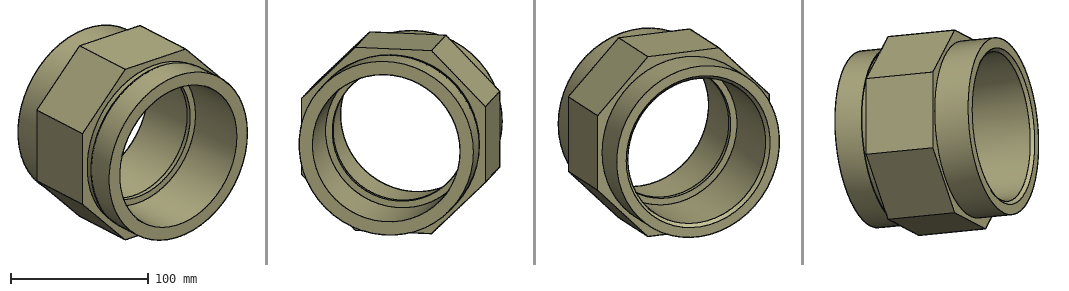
import cadquery as cq

total_length = 106.0
across_flats = 137.0

front_collar_length = total_length / 4
octagon_length = total_length / 2
groove_width = 5.3

collar_diameter = 129.9
groove_diameter = 128.2
bore_diameter = 100.0
socket_diameter = 109.9

socket_depth = 54.4
stop_width = 3.5
mouth_diameter = 114.8
mouth_chamfer = (mouth_diameter - socket_diameter) / 2

octagon_start = front_collar_length
octagon_end = octagon_start + octagon_length


def cylinder(diameter, start, length):
    """Cylinder on the X axis."""
    return cq.Workplane("YZ", origin=(start, 0, 0)).circle(diameter / 2).extrude(length)


def octagon_body():
    """Octagonal grip with flats facing Y and Z."""
    square_bar = (
        cq.Workplane("YZ", origin=(octagon_start, 0, 0))
        .rect(across_flats, across_flats)
        .extrude(octagon_length)
    )
    return square_bar.intersect(square_bar.rotate((0, 0, 0), (1, 0, 0), 45))


def front_socket():
    """Stepped recess with a chamfered mouth."""
    profile = [
        (0, 0),
        (0, mouth_diameter / 2),
        (mouth_chamfer, socket_diameter / 2),
        (socket_depth, socket_diameter / 2),
        (socket_depth, 0),
    ]
    return cq.Workplane("XY").polyline(profile).close().revolve(360, (0, 0, 0), (1, 0, 0))


rear_collar_start = octagon_end + groove_width
body = (
    cylinder(collar_diameter, 0, octagon_end)
    .union(octagon_body())
    .union(cylinder(groove_diameter, octagon_end, groove_width))
    .union(cylinder(collar_diameter, rear_collar_start, total_length - rear_collar_start))
)

rear_socket_start = socket_depth + stop_width
result = (
    body.cut(cylinder(bore_diameter, 0, total_length))
    .cut(front_socket())
    .cut(cylinder(socket_diameter, rear_socket_start, total_length - rear_socket_start))
)